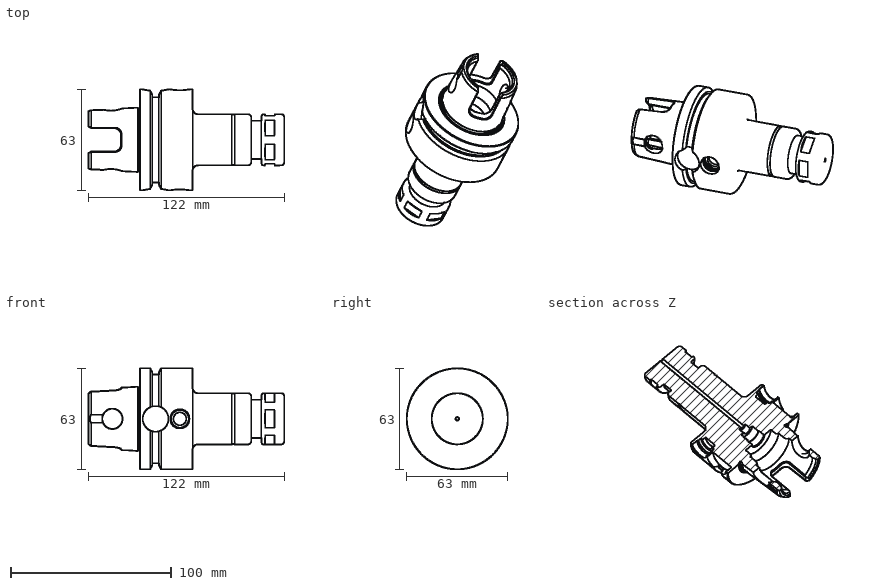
import cadquery as cq
import math


SHANK_LENGTH = 32.0
SHANK_RADIUS = 20.15
TAPER_RATIO = 0.05
NOSE_CHAMFER_LENGTH = 2.0
NOSE_CHAMFER_DEPTH = 0.9
UNDERCUT_START = -1.3
UNDERCUT_SHOULDER = -0.7
UNDERCUT_RADIUS = 19.4
RECESS_DEPTH = 0.6
RECESS_FLOOR_OUTER_RADIUS = 21.1
RECESS_FLOOR_INNER_RADIUS = 20.4
UNDERCUT_DEPTH = 1.2
RECESS_RADIUS = 22.0

FLANGE_RADIUS = 31.5
FLANGE_END = 33.0
FLANGE_FRONT_CHAMFER = 0.4
FLANGE_REAR_FILLET = 0.7
GRIP_GROOVE_START = 7.9
GRIP_GROOVE_END = 11.9
GRIP_GROOVE_RADIUS = 27.75
GRIP_CHAMFER_DEPTH = 2.4
GRIP_CHAMFER_LENGTH = 1.45

BODY_RADIUS = 16.0
BODY_END = 69.5
BODY_ROOT_FILLET = 3.2
BODY_END_FILLET = 2.2
BODY_GROOVE_START = 57.4
BODY_GROOVE_END = 59.2
BODY_GROOVE_DEPTH = 0.2
NECK_RADIUS = 12.0
NUT_START = 75.8
NUT_END = 90.0
NUT_FRONT_FILLET = 1.4
NUT_REAR_FILLET = 2.0
NUT_FLAT_COUNT = 6
NUT_FLAT_RADIUS = 15.0
NUT_FLAT_START = 78.2
NUT_FLAT_LENGTH = 5.65
NUT_FLAT_WALL_ANGLE = 18.0

BORE_MOUTH_RADIUS = 16.0
BORE_MOUTH_CHAMFER = 0.9
BORE_LEAD_IN_LENGTH = 2.2
BORE_RADIUS = 14.2
BORE_END = -8.2
THROAT_START = -5.4
THROAT_RADIUS = 12.34
THROAT_END = -0.8
FLOOR_RADIUS = 10.9
FLOOR_X = 4.5
SCREW_HOLE_RADIUS = 4.6
SCREW_HOLE_MOUTH_RADIUS = 5.5
SCREW_RECESS_RADIUS = 5.0
SCREW_RECESS_DEPTH = 5.0
SCREW_HOLE_DEPTH = 10.0
PILOT_RADIUS = 2.5
PILOT_DEPTH = 4.0
COOLANT_RADIUS = 1.0

SLOT_WIDTH = 14.4
SLOT_END = -11.7
SLOT_CORNER_RADIUS = 4.0
SLOT_MOUTH_LENGTH = 2.0
SLOT_MOUTH_FLARE = 1.2
SLOT_EDGE_CHAMFER = 0.5

BALL_HOLE_DIAMETER = 12.5
BALL_HOLE_X = -17.0
BALL_RAMP_ANGLE = 45.0
BALL_RAMP_PIVOT_Y = 14.0
BALL_RAMP_LENGTH = 6.0
KEYWAY_WIDTH = 4.8
KEYWAY_FLOOR = 18.3
SEAT_DIAMETER = 16.0
SEAT_X = 9.9
SEAT_FLOOR = 26.6
SCREW_PORT_X = 25.0
SCREW_PORT_DIAMETER = 12.0
SCREW_PORT_SHOULDER_DIAMETER = 11.0
SCREW_PORT_BOTTOM_DIAMETER = 8.0
SCREW_PORT_CONE_TOP = 27.5
SCREW_PORT_SHOULDER = 26.5
SCREW_PORT_FLOOR = 24.5
SCREW_PORT_BOTTOM = 22.0


def taper_radius(x):
    return SHANK_RADIUS + TAPER_RATIO * x


def revolve_about_x(profile):
    return profile.close().revolve(360, (0, 0, 0), (1, 0, 0))


def arc_middle(fillet):
    """Distance from a fillet's sharp corner to its middle point, along each side."""
    return fillet * (1 - math.sqrt(0.5))


def round_edge_up(profile, x, radius, fillet):
    """Climb a left-hand end face at x and round over onto the given radius."""
    middle = arc_middle(fillet)
    return profile.lineTo(x, radius - fillet).threePointArc(
        (x + middle, radius - middle), (x + fillet, radius)
    )


def round_edge_down(profile, x, radius, fillet):
    """Run along the given radius and round over onto a right-hand end face at x."""
    middle = arc_middle(fillet)
    return profile.lineTo(x - fillet, radius).threePointArc(
        (x - middle, radius - middle), (x, radius - fillet)
    )


def outer_body():
    nose = -SHANK_LENGTH
    nose_end = nose + NOSE_CHAMFER_LENGTH
    groove_floor = BODY_RADIUS - BODY_GROOVE_DEPTH
    root_middle = arc_middle(BODY_ROOT_FILLET)
    profile = (
        cq.Workplane("XY")
        .moveTo(nose, 0)
        .lineTo(nose, taper_radius(nose_end) - NOSE_CHAMFER_DEPTH)
        .lineTo(nose_end, taper_radius(nose_end))
        .lineTo(UNDERCUT_START, taper_radius(UNDERCUT_START))
        .lineTo(UNDERCUT_SHOULDER, UNDERCUT_RADIUS)
        .lineTo(UNDERCUT_DEPTH, UNDERCUT_RADIUS)
        .lineTo(RECESS_DEPTH, RECESS_FLOOR_INNER_RADIUS)
        .lineTo(RECESS_DEPTH, RECESS_FLOOR_OUTER_RADIUS)
        .lineTo(0, RECESS_RADIUS)
        .lineTo(0, FLANGE_RADIUS - FLANGE_FRONT_CHAMFER)
        .lineTo(FLANGE_FRONT_CHAMFER, FLANGE_RADIUS)
        .lineTo(GRIP_GROOVE_START - GRIP_CHAMFER_LENGTH, FLANGE_RADIUS)
        .lineTo(GRIP_GROOVE_START, FLANGE_RADIUS - GRIP_CHAMFER_DEPTH)
        .lineTo(GRIP_GROOVE_START, GRIP_GROOVE_RADIUS)
        .lineTo(GRIP_GROOVE_END, GRIP_GROOVE_RADIUS)
        .lineTo(GRIP_GROOVE_END, FLANGE_RADIUS - GRIP_CHAMFER_DEPTH)
        .lineTo(GRIP_GROOVE_END + GRIP_CHAMFER_LENGTH, FLANGE_RADIUS)
    )
    profile = round_edge_down(profile, FLANGE_END, FLANGE_RADIUS, FLANGE_REAR_FILLET)
    profile = (
        profile.lineTo(FLANGE_END, BODY_RADIUS + BODY_ROOT_FILLET)
        .threePointArc(
            (FLANGE_END + root_middle, BODY_RADIUS + root_middle),
            (FLANGE_END + BODY_ROOT_FILLET, BODY_RADIUS),
        )
        .lineTo(BODY_GROOVE_START, BODY_RADIUS)
        .lineTo(BODY_GROOVE_START, groove_floor)
        .lineTo(BODY_GROOVE_END, groove_floor)
        .lineTo(BODY_GROOVE_END, BODY_RADIUS)
    )
    profile = round_edge_down(profile, BODY_END, BODY_RADIUS, BODY_END_FILLET)
    profile = profile.lineTo(BODY_END, NECK_RADIUS).lineTo(NUT_START, NECK_RADIUS)
    profile = round_edge_up(profile, NUT_START, BODY_RADIUS, NUT_FRONT_FILLET)
    profile = round_edge_down(profile, NUT_END, BODY_RADIUS, NUT_REAR_FILLET)
    return revolve_about_x(profile.lineTo(NUT_END, 0))


def narrow_bore(profile, wide_radius, wide_x, narrow_radius, narrow_x):
    """Round bulging edge that runs smoothly into the narrower bore."""
    run = narrow_x - wide_x
    rise = wide_radius - narrow_radius
    edge_radius = (run**2 + rise**2) / (2 * rise)
    half_angle = math.asin(run / edge_radius) / 2
    middle = (
        narrow_x - edge_radius * math.sin(half_angle),
        narrow_radius + edge_radius * (1 - math.cos(half_angle)),
    )
    return profile.threePointArc(middle, (narrow_x, narrow_radius))


def shank_bore():
    nose = -SHANK_LENGTH
    screw_floor = FLOOR_X + SCREW_HOLE_DEPTH
    screw_chamfer = SCREW_HOLE_MOUTH_RADIUS - SCREW_RECESS_RADIUS
    pilot_floor = screw_floor + PILOT_DEPTH
    lead_in_start = nose + BORE_MOUTH_CHAMFER
    profile = (
        cq.Workplane("XY")
        .moveTo(nose, 0)
        .lineTo(nose, BORE_MOUTH_RADIUS)
        .lineTo(lead_in_start, BORE_MOUTH_RADIUS - BORE_MOUTH_CHAMFER)
        .lineTo(lead_in_start + BORE_LEAD_IN_LENGTH, BORE_RADIUS)
        .lineTo(BORE_END, BORE_RADIUS)
    )
    profile = narrow_bore(profile, BORE_RADIUS, BORE_END, THROAT_RADIUS, THROAT_START)
    floor_edge = THROAT_RADIUS - FLOOR_RADIUS
    profile = profile.lineTo(THROAT_END, THROAT_RADIUS)
    profile = narrow_bore(profile, THROAT_RADIUS, THROAT_END, FLOOR_RADIUS, THROAT_END + floor_edge)
    profile = (
        profile.lineTo(FLOOR_X, FLOOR_RADIUS)
        .lineTo(FLOOR_X, SCREW_HOLE_MOUTH_RADIUS)
        .lineTo(FLOOR_X + screw_chamfer, SCREW_RECESS_RADIUS)
        .lineTo(FLOOR_X + SCREW_RECESS_DEPTH, SCREW_RECESS_RADIUS)
        .lineTo(FLOOR_X + SCREW_RECESS_DEPTH, SCREW_HOLE_RADIUS)
        .lineTo(screw_floor, SCREW_HOLE_RADIUS)
        .lineTo(screw_floor, PILOT_RADIUS)
        .lineTo(pilot_floor, PILOT_RADIUS)
        .lineTo(pilot_floor, COOLANT_RADIUS)
        .lineTo(NUT_END, COOLANT_RADIUS)
        .lineTo(NUT_END, 0)
    )
    return revolve_about_x(profile)


def drive_slots():
    """Slot with rounded inner corners and a flared mouth, right across the shank."""
    half = SLOT_WIDTH / 2
    nose = -SHANK_LENGTH
    flare_end = nose + SLOT_MOUTH_LENGTH
    corner_start = SLOT_END - SLOT_CORNER_RADIUS
    middle = arc_middle(SLOT_CORNER_RADIUS)
    outline = (
        cq.Workplane("XY")
        .moveTo(nose, -half - SLOT_MOUTH_FLARE)
        .lineTo(flare_end, -half)
        .lineTo(corner_start, -half)
        .threePointArc((SLOT_END - middle, middle - half), (SLOT_END, SLOT_CORNER_RADIUS - half))
        .lineTo(SLOT_END, half - SLOT_CORNER_RADIUS)
        .threePointArc((SLOT_END - middle, half - middle), (corner_start, half))
        .lineTo(flare_end, half)
        .lineTo(nose, half + SLOT_MOUTH_FLARE)
        .close()
    )
    return outline.extrude(2 * SHANK_RADIUS, both=True)


def bevel_slot_rims(part):
    """Bevel the slot edges on the taper and in the bore, above and below."""
    margin = 0.1
    half = SLOT_WIDTH / 2 + margin
    taper_start = -SHANK_LENGTH + NOSE_CHAMFER_LENGTH - margin
    bore_start = -SHANK_LENGTH + BORE_MOUTH_CHAMFER + BORE_LEAD_IN_LENGTH - margin
    split = BORE_RADIUS + margin
    for side in (-1, 1):
        for start, low, high in ((taper_start, split, FLANGE_RADIUS), (bore_start, 0, split)):
            rim = cq.selectors.BoxSelector(
                (start, -half, side * low),
                (SLOT_END + margin, half, side * high),
                boundingbox=True,
            )
            part = part.edges(rim).chamfer(SLOT_EDGE_CHAMFER)
    return part


def ball_holes():
    return (
        cq.Workplane("XZ")
        .center(BALL_HOLE_X, 0)
        .circle(BALL_HOLE_DIAMETER / 2)
        .extrude(SHANK_RADIUS, both=True)
    )


def ball_ramp(side):
    """Oblique hole that leaves the ball hole inside the wall and leans towards the nose."""
    angle = math.radians(BALL_RAMP_ANGLE)
    inward = cq.Vector(-math.sin(angle), -side * math.cos(angle), 0)
    pivot = cq.Vector(BALL_HOLE_X, side * BALL_RAMP_PIVOT_Y, 0)
    return cq.Solid.makeCylinder(BALL_HOLE_DIAMETER / 2, BALL_RAMP_LENGTH, pivot, inward)


def keyway(side):
    depth = SHANK_RADIUS - KEYWAY_FLOOR
    length = BALL_HOLE_X + SHANK_LENGTH
    return cq.Workplane("XY").box(length, depth, KEYWAY_WIDTH).translate(
        (BALL_HOLE_X - length / 2, side * (KEYWAY_FLOOR + depth / 2), 0)
    )


def ball_seat(side):
    return (
        cq.Workplane("XZ", origin=(0, side * SEAT_FLOOR, 0))
        .center(SEAT_X, 0)
        .circle(SEAT_DIAMETER / 2)
        .extrude(-side * (FLANGE_RADIUS - SEAT_FLOOR))
    )


def screw_port(side):
    """Stepped radial hole, revolved about its own axis along Y."""
    bore = SCREW_PORT_DIAMETER / 2
    shoulder = SCREW_PORT_SHOULDER_DIAMETER / 2
    bottom = SCREW_PORT_BOTTOM_DIAMETER / 2
    return (
        cq.Workplane("XY", origin=(SCREW_PORT_X, 0, 0))
        .moveTo(0, side * FLANGE_RADIUS)
        .lineTo(bore, side * FLANGE_RADIUS)
        .lineTo(bore, side * SCREW_PORT_CONE_TOP)
        .lineTo(shoulder, side * SCREW_PORT_SHOULDER)
        .lineTo(shoulder, side * SCREW_PORT_FLOOR)
        .lineTo(bottom, side * SCREW_PORT_FLOOR)
        .lineTo(bottom, side * SCREW_PORT_BOTTOM)
        .lineTo(0, side * SCREW_PORT_BOTTOM)
        .close()
        .revolve(360, (0, 0, 0), (0, 1, 0))
    )


def nut_flat(index):
    """Rectangular spanner pocket whose four walls lean outwards."""
    chord = 2 * math.sqrt(BODY_RADIUS**2 - NUT_FLAT_RADIUS**2)
    pocket = (
        cq.Workplane("XZ", origin=(0, -NUT_FLAT_RADIUS, 0))
        .center(NUT_FLAT_START + NUT_FLAT_LENGTH / 2, 0)
        .rect(NUT_FLAT_LENGTH, chord)
        .extrude(2 * (BODY_RADIUS - NUT_FLAT_RADIUS), taper=-NUT_FLAT_WALL_ANGLE)
    )
    return pocket.rotate((0, 0, 0), (1, 0, 0), index * 360 / NUT_FLAT_COUNT)


part = outer_body().cut(shank_bore())
part = bevel_slot_rims(part.cut(drive_slots()))
part = part.cut(ball_holes())
for side in (-1, 1):
    part = part.cut(ball_ramp(side)).cut(keyway(side)).cut(ball_seat(side)).cut(screw_port(side))
for index in range(NUT_FLAT_COUNT):
    part = part.cut(nut_flat(index))

result = part